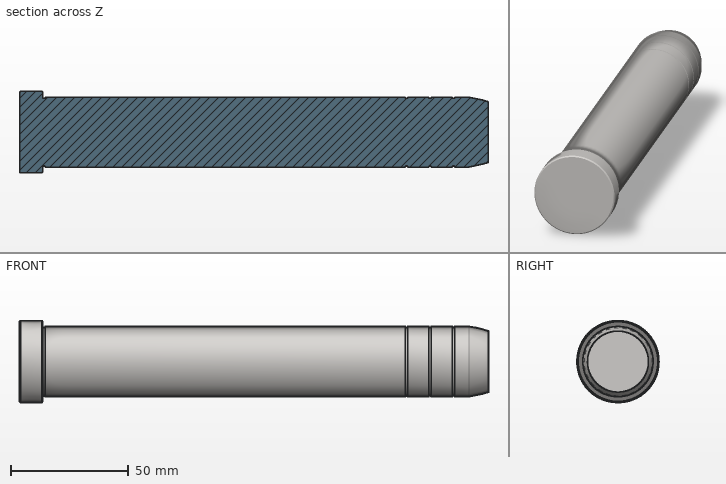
import cadquery as cq
length = 200.0
head_radius = 35.0 / 2
head_length = 10.0
head_edge_chamfer = 0.5
shaft_radius = 30.0 / 2

relief_width = 1.0

groove_count = 3
first_groove_center = 165.0
groove_pitch = 10.0
groove_width = 1.0

nose_length = 8.5
nose_tip_radius = 13.0
nose_arc_radius = 40.0


def cylinder_along_x(start, cylinder_length, radius):
    return cq.Workplane("YZ", origin=(start, 0, 0)).circle(radius).extrude(cylinder_length)


def make_head():
    head = cylinder_along_x(0, head_length, head_radius)
    return head.edges().chamfer(head_edge_chamfer)


def make_shaft():
    nose_start = length - nose_length
    shaft_start = head_length / 2
    profile = (
        cq.Workplane("XZ")
        .moveTo(shaft_start, 0)
        .lineTo(shaft_start, shaft_radius)
        .lineTo(nose_start, shaft_radius)
        .radiusArc((length, nose_tip_radius), nose_arc_radius)
        .lineTo(length, 0)
        .close()
    )
    return profile.revolve(360, (0, 0, 0), (1, 0, 0))


def ring_cutter(center, width):
    section = cq.Workplane("XZ", origin=(center, 0, shaft_radius)).circle(width / 2)
    return section.revolve(360, (0, -shaft_radius, 0), (1, -shaft_radius, 0))


result = make_head().union(make_shaft())
result = result.cut(ring_cutter(head_length + relief_width / 2, relief_width))
for index in range(groove_count):
    groove_center = first_groove_center + index * groove_pitch
    result = result.cut(ring_cutter(groove_center, groove_width))